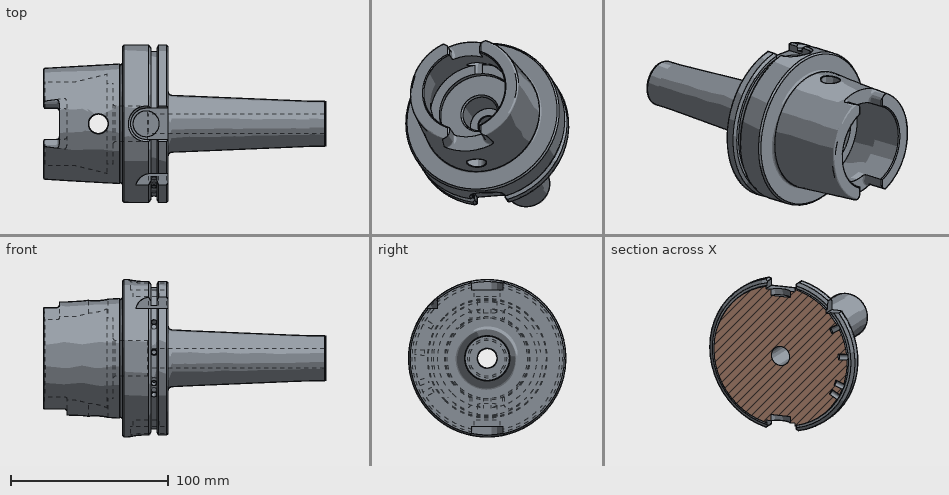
import cadquery as cq
import math


shank_length = 50.0
shank_tip_radius = 35.3
shank_base_radius = 38.0
shank_tip_round = 1.2
neck_length = 2.0
neck_radius = 37.5
neck_root_radius = 1.4

flange_radius = 50.0
flange_length = 29.0
flange_chamfer = 1.1
groove_floor_radius = 46.0
groove_floor_start = 18.2
groove_floor_end = 21.8
groove_wall_radius = 47.7
groove_mouth_start = 16.6
groove_mouth_end = 22.9

nose_base_radius = 18.1
nose_root_radius = 2.5
nose_tip_radius = 14.4
nose_end = 129.0
nose_cylinder_length = 10.2
nose_tip_chamfer_length = 1.0
nose_tip_chamfer_depth = 0.4

clamp_bore_radius = 26.5
clamp_mouth_chamfer = 0.7
clamp_land_depth = 19.8
clamp_cavity_radius = 31.5
clamp_cavity_depth = 40.3
clamp_floor_radius = 25.5
clamp_floor_depth = 44.0
tube_bore_radius = 11.3
tube_bore_chamfer = 1.1
tube_bore_depth = 66.0
tool_bore_radius = 6.1
tool_bore_chamfer = 0.4

cross_hole_radius = 6.1
cross_hole_from_tip = 34.7
cross_hole_chamfer = 0.3

drive_slot_half_width = 9.8
drive_slot_shelf_height = 32.2
drive_slot_corner_radius = 5.0
drive_slot_root_radius = 1.6
drive_slot_mouth_flare = 1.2
drive_slot_mouth_depth = 0.6
upper_drive_slot_depth = 9.9
lower_drive_slot_depth = 14.7

key_notch_radius = 9.9
key_notch_center = 15.0
key_notch_floor = 43.3
key_notch_chamfer = 1.4
key_hole_radius = 8.25
key_hole_depth = 4.0

corner_notch_y = -31.5
corner_notch_z = 31.5
corner_notch_start = 8.1
corner_notch_radius = 10.0

groove_hole_radius = 1.7
groove_hole_depth = 6.0
groove_hole_angles = (30.0, 5.0, -20.0, -30.0)

clearance = 1.0

shank_tip = -shank_length


def turn(profile):
    return profile.revolve(360, (0, 0, 0), (1, 0, 0))


def make_body():
    """Shank, flange and nose without the gripper groove."""
    arc_middle = 1 - math.sqrt(0.5)
    tip_arc = shank_tip_round * arc_middle
    neck_step = shank_base_radius - neck_radius
    neck_arc = neck_root_radius * arc_middle
    nose_arc = nose_root_radius * arc_middle
    nose_root_end = flange_length + nose_root_radius
    profile = (
        cq.Workplane("XY")
        .moveTo(shank_tip, 0)
        .lineTo(shank_tip, shank_tip_radius - shank_tip_round)
        .threePointArc(
            (shank_tip + tip_arc, shank_tip_radius - tip_arc),
            (shank_tip + shank_tip_round, shank_tip_radius),
        )
        .lineTo(-neck_length, shank_base_radius)
        .lineTo(-neck_length + neck_step, neck_radius)
        .lineTo(-neck_root_radius, neck_radius)
        .threePointArc(
            (-neck_arc, neck_radius + neck_arc),
            (0, neck_radius + neck_root_radius),
        )
        .lineTo(0, flange_radius - flange_chamfer)
        .lineTo(flange_chamfer, flange_radius)
        .lineTo(flange_length - flange_chamfer, flange_radius)
        .lineTo(flange_length, flange_radius - flange_chamfer)
        .lineTo(flange_length, nose_base_radius + nose_root_radius)
        .threePointArc(
            (flange_length + nose_arc, nose_base_radius + nose_arc),
            (nose_root_end, nose_base_radius),
        )
        .lineTo(nose_end - nose_cylinder_length, nose_tip_radius)
        .lineTo(nose_end - nose_tip_chamfer_length, nose_tip_radius)
        .lineTo(nose_end, nose_tip_radius - nose_tip_chamfer_depth)
        .lineTo(nose_end, 0)
        .close()
    )
    return turn(profile)


def make_gripper_groove():
    outside = flange_radius + clearance
    profile = (
        cq.Workplane("XY")
        .moveTo(groove_mouth_start, outside)
        .lineTo(groove_mouth_start, flange_radius)
        .lineTo(groove_floor_start, groove_wall_radius)
        .lineTo(groove_floor_start, groove_floor_radius)
        .lineTo(groove_floor_end, groove_floor_radius)
        .lineTo(groove_floor_end, groove_wall_radius)
        .lineTo(groove_mouth_end, flange_radius)
        .lineTo(groove_mouth_end, outside)
        .close()
    )
    return turn(profile)


def make_axial_bores():
    """Clamping cavity in the shank, coolant tube bore and tool bore through the nose."""
    cavity_end = shank_tip + clamp_cavity_depth
    floor = shank_tip + clamp_floor_depth
    tube_end = shank_tip + tube_bore_depth
    profile = (
        cq.Workplane("XY")
        .moveTo(shank_tip, 0)
        .lineTo(shank_tip, clamp_bore_radius + clamp_mouth_chamfer)
        .lineTo(shank_tip + clamp_mouth_chamfer, clamp_bore_radius)
        .lineTo(shank_tip + clamp_land_depth, clamp_bore_radius)
        .lineTo(cavity_end, clamp_cavity_radius)
        .lineTo(cavity_end, clamp_floor_radius)
        .lineTo(floor, clamp_floor_radius)
        .lineTo(floor, tube_bore_radius + tube_bore_chamfer)
        .lineTo(floor + tube_bore_chamfer, tube_bore_radius)
        .lineTo(tube_end, tube_bore_radius)
        .lineTo(tube_end, tool_bore_radius + tool_bore_chamfer)
        .lineTo(tube_end + tool_bore_chamfer, tool_bore_radius)
        .lineTo(nose_end, tool_bore_radius)
        .lineTo(nose_end, 0)
        .close()
    )
    return turn(profile)


def cut_cross_hole(body):
    """Vertical hole through the shank, chamfered where it meets the taper."""
    center = shank_tip + cross_hole_from_tip
    reach = shank_base_radius + clearance
    hole = cq.Workplane("XY", origin=(center, 0, -reach)).circle(cross_hole_radius).extrude(2 * reach)
    margin = cross_hole_radius + clearance
    rims = cq.selectors.BoxSelector(
        (center - margin, -margin, -reach),
        (center + margin, margin, reach),
        boundingbox=True,
    )
    return body.cut(hole).edges(rims).edges("not |Z").chamfer(cross_hole_chamfer)


def make_drive_slot(depth):
    """Slot at +Z: a straight passage that widens over rounded corners to a flat shelf."""
    half = drive_slot_half_width
    corner = drive_slot_corner_radius
    shelf = drive_slot_shelf_height
    arc = corner * (1 - math.sqrt(0.5))
    reach = flange_radius
    slot = (
        cq.Workplane("YZ", origin=(shank_tip, 0, 0))
        .moveTo(-half, 0)
        .lineTo(-half, shelf - corner)
        .threePointArc((-half - arc, shelf - arc), (-half - corner, shelf))
        .lineTo(-reach, shelf)
        .lineTo(-reach, reach)
        .lineTo(reach, reach)
        .lineTo(reach, shelf)
        .lineTo(half + corner, shelf)
        .threePointArc((half + arc, shelf - arc), (half, shelf - corner))
        .lineTo(half, 0)
        .close()
        .extrude(depth)
    )
    inside = reach - clearance
    inner_walls = cq.selectors.BoxSelector((-reach, -inside, clearance), (reach, inside, inside))
    rounded_slot = slot.faces(">X").edges(inner_walls).fillet(drive_slot_root_radius)
    mouth_half = half + drive_slot_mouth_flare
    mouth = (
        cq.Workplane("XY")
        .moveTo(shank_tip, -mouth_half)
        .lineTo(shank_tip, mouth_half)
        .lineTo(shank_tip + drive_slot_mouth_depth, half)
        .lineTo(shank_tip + drive_slot_mouth_depth, -half)
        .close()
        .extrude(shelf)
    )
    return rounded_slot.union(mouth)


def cut_key_notch(body):
    """Round-ended notch at +Z, open toward the nose, with a bevelled rim and a round floor pocket."""
    radius = key_notch_radius
    notch = (
        cq.Workplane("XY", origin=(key_notch_center, 0, key_notch_floor))
        .moveTo(0, radius)
        .threePointArc((-radius, 0), (0, -radius))
        .lineTo(flange_length, -radius)
        .lineTo(flange_length, radius)
        .close()
        .extrude(flange_radius)
    )
    rim_height = (key_notch_floor + flange_radius) / 2
    rim_zone = cq.selectors.BoxSelector(
        (key_notch_center - radius - clearance, -radius - clearance, rim_height),
        (flange_length - flange_chamfer, radius + clearance, flange_radius + clearance),
    )
    bevelled = body.cut(notch).edges(rim_zone).chamfer(key_notch_chamfer)
    pocket = (
        cq.Workplane("XY", origin=(key_notch_center, 0, key_notch_floor))
        .circle(key_hole_radius)
        .extrude(-key_hole_depth)
    )
    return bevelled.cut(pocket)


def make_corner_notch():
    length = flange_length - corner_notch_start
    width = flange_radius + corner_notch_y
    height = flange_radius - corner_notch_z
    notch = cq.Workplane("XY").box(length, width, height, centered=False)
    notch = notch.edges("|Z and <X and >Y").fillet(corner_notch_radius)
    return notch.translate((corner_notch_start, -flange_radius, corner_notch_z))


def make_groove_hole(angle):
    center = (groove_floor_start + groove_floor_end) / 2
    hole = (
        cq.Workplane("XZ", origin=(center, -groove_floor_radius + groove_hole_depth, 0))
        .circle(groove_hole_radius)
        .extrude(2 * groove_hole_depth)
    )
    return hole.rotate((0, 0, 0), (1, 0, 0), -angle)


def half_turn(shape):
    return shape.rotate((0, 0, 0), (1, 0, 0), 180)


result = cut_cross_hole(make_body())
result = cut_key_notch(result)
result = half_turn(cut_key_notch(half_turn(result)))
result = result.cut(make_gripper_groove())
result = result.cut(make_axial_bores())
result = result.cut(make_drive_slot(upper_drive_slot_depth))
result = result.cut(half_turn(make_drive_slot(lower_drive_slot_depth)))
result = result.cut(make_corner_notch())
for hole_angle in groove_hole_angles:
    result = result.cut(make_groove_hole(hole_angle))